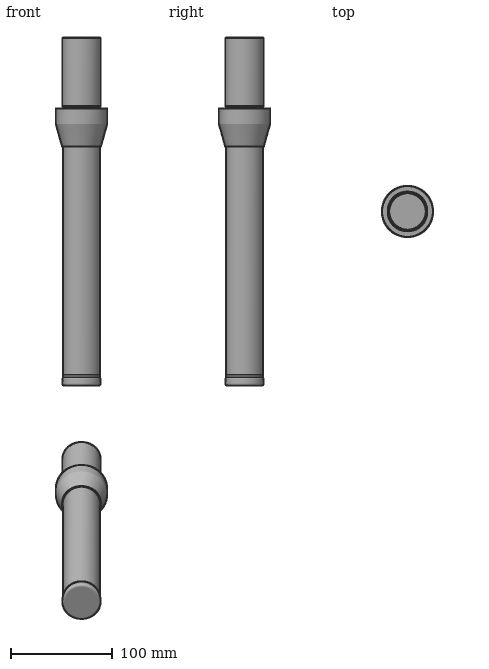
import cadquery as cq

total_length = 343.41

shank_diameter = 38.1
shank_length = 69.85
shank_edge = 1.2
neck_diameter = 36.9
neck_length = 2.1
groove_diameter = 39.4
groove_depth = 0.8
barrel_diameter = 36.9
collar_diameter = 50.8
collar_height = 38.1
collar_rim_height = 15.875
collar_edge = 0.5
skirt_end_diameter = 38.7
skirt_edge = 0.6

tip_diameter = 38.1
tip_band_top_diameter = 37.7
tip_band_top = 6.6
tip_cone_end_diameter = 35.8
tip_height = 11.0
tip_edge_radius = 2.4

collar_top = total_length - shank_length
collar_bottom = collar_top - collar_height
tip_cone_length = tip_height - tip_band_top
tip_cone_narrowing = tip_band_top_diameter - tip_cone_end_diameter
cone_share_outside = (tip_band_top_diameter - barrel_diameter) / tip_cone_narrowing
barrel_bottom = tip_band_top + tip_cone_length * cone_share_outside


def revolve_profile(profile):
    """Close a half profile drawn as (radius, height) and turn it about Z."""
    return profile.close().revolve(360, (0, 0), (0, 1))


def make_tip():
    tip_radius = tip_diameter / 2
    profile = (
        cq.Workplane("XZ")
        .lineTo(tip_radius - tip_edge_radius, 0)
        .radiusArc((tip_radius, tip_edge_radius), -tip_edge_radius)
        .lineTo(tip_band_top_diameter / 2, tip_band_top)
        .lineTo(tip_cone_end_diameter / 2, tip_height)
        .lineTo(0, tip_height)
    )
    return revolve_profile(profile)


def make_post():
    shank_radius = shank_diameter / 2
    neck_radius = neck_diameter / 2
    barrel_radius = barrel_diameter / 2
    rim_radius = collar_diameter / 2
    skirt_radius = skirt_end_diameter / 2
    neck_top = collar_top + neck_length
    neck_slope = shank_radius - neck_radius
    profile = (
        cq.Workplane("XZ")
        .moveTo(0, tip_height)
        .lineTo(tip_cone_end_diameter / 2, tip_height)
        .lineTo(barrel_radius, barrel_bottom)
        .lineTo(barrel_radius, collar_bottom)
        .lineTo(skirt_radius - skirt_edge, collar_bottom)
        .lineTo(skirt_radius, collar_bottom + skirt_edge)
        .lineTo(rim_radius, collar_top - collar_rim_height)
        .lineTo(rim_radius, collar_top - collar_edge)
        .lineTo(rim_radius - collar_edge, collar_top)
        .lineTo(groove_diameter / 2, collar_top)
        .lineTo(neck_radius, collar_top - groove_depth)
        .lineTo(neck_radius, neck_top - neck_slope)
        .lineTo(shank_radius, neck_top)
        .lineTo(shank_radius, total_length - shank_edge)
        .lineTo(shank_radius - shank_edge, total_length)
        .lineTo(0, total_length)
    )
    return revolve_profile(profile)


post = make_post()
tip = make_tip()
result = cq.Compound.makeCompound([post.val(), tip.val()])